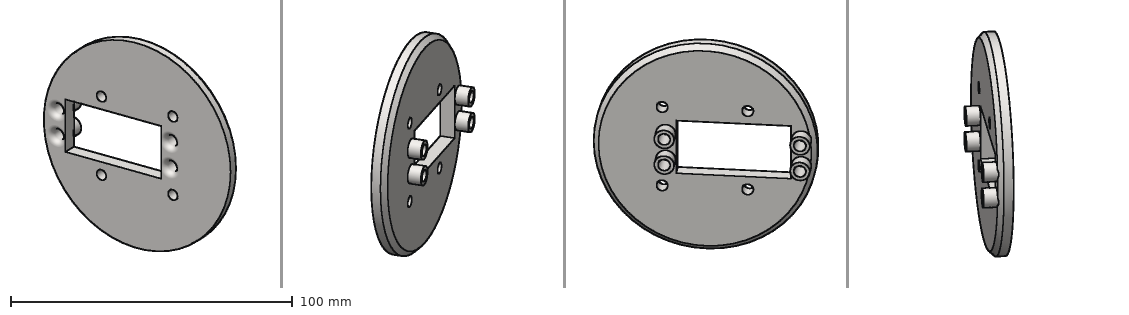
import cadquery as cq

plate_diameter = 80.0
plate_thickness = 5.5
rim_chamfer = 2.0
total_depth = 10.5

window_center_x = -10.2
window_width = 41.0
window_height = 20.5

plain_hole_diameter = 4.0
plain_hole_spacing = 30.6

boss_diameter = 7.0
boss_hole_diameter = 4.3
boss_spacing_x = 48.5
boss_spacing_z = 10.0
mouth_radius = 2.0


def rectangle_corners(center_x, spacing_x, spacing_z):
    """Four (x, z) corners of a rectangle centred on z = 0."""
    return [
        (center_x + side_x * spacing_x / 2, side_z * spacing_z / 2)
        for side_x in (-1, 1)
        for side_z in (-1, 1)
    ]


def cylinder_along_y(x, z, diameter, depth):
    """Cylinder from the front face toward +Y."""
    return cq.Workplane("XZ", origin=(x, 0, z)).circle(diameter / 2).extrude(-depth)


def make_plate():
    plate = cylinder_along_y(0, 0, plate_diameter, plate_thickness)
    return plate.faces(">Y").edges().chamfer(rim_chamfer)


def make_window():
    return (
        cq.Workplane("XZ", origin=(window_center_x, 0, 0))
        .rect(window_width, window_height)
        .extrude(-plate_thickness)
    )


def make_boss_hole(x, z):
    """Through hole whose front mouth flares out along a quarter-circle arc."""
    hole_radius = boss_hole_diameter / 2
    flare_center_x = hole_radius + mouth_radius
    arc_offset = mouth_radius / 2**0.5
    return (
        cq.Workplane("XY")
        .lineTo(flare_center_x, 0)
        .threePointArc(
            (flare_center_x - arc_offset, mouth_radius - arc_offset),
            (hole_radius, mouth_radius),
        )
        .lineTo(hole_radius, total_depth)
        .lineTo(0, total_depth)
        .close()
        .revolve(360, (0, 0, 0), (0, 1, 0))
        .translate((x, 0, z))
    )


plain_hole_centers = rectangle_corners(0, plain_hole_spacing, plain_hole_spacing)
boss_centers = rectangle_corners(window_center_x, boss_spacing_x, boss_spacing_z)

result = make_plate()
for x, z in boss_centers:
    result = result.union(cylinder_along_y(x, z, boss_diameter, total_depth))

result = result.cut(make_window())
for x, z in plain_hole_centers:
    result = result.cut(cylinder_along_y(x, z, plain_hole_diameter, plate_thickness))
for x, z in boss_centers:
    result = result.cut(make_boss_hole(x, z))